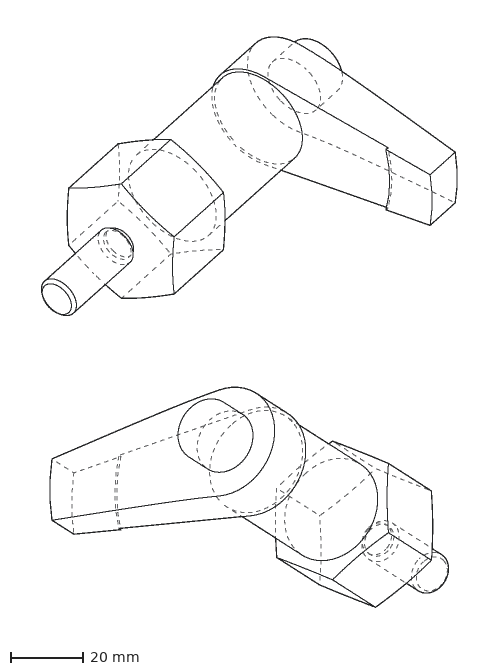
import cadquery as cq
import math

stud_length = 30.0
hex_length = 25.0
sleeve_length = 41.0
lever_depth = 17.0
knob_length = 11.0

stud_diameter = 12.0
neck_diameter = 9.4
neck_length = 1.25
shoulder_angle = math.radians(30.0)
stud_end_chamfer = 1.0

hex_across_flats = 36.0
hex_sides = 6
hex_corner_diameter = hex_across_flats / math.cos(math.pi / hex_sides)
hex_chamfer_angle = math.radians(15.0)

sleeve_diameter = 30.0
knob_diameter = 18.0
knob_fillet = 0.8

hub_diameter = 32.0
tip_radius = 60.0
tip_half_width = 9.2
tip_top_drop = 6.0
foot_inner_radius = 45.5
foot_height = 1.0

hex_start = stud_length
sleeve_start = hex_start + hex_length
lever_start = sleeve_start + sleeve_length
lever_end = lever_start + lever_depth
knob_end = lever_end + knob_length


def disc_along_y(diameter, start, end):
    """Cylinder on the Y axis between two stations."""
    return cq.Workplane("XZ", origin=(0, start, 0)).circle(diameter / 2).extrude(start - end)


def make_stud():
    """Shank with a chamfered end, and a thinner neck where it meets the hexagon body."""
    shank_radius = stud_diameter / 2
    neck_radius = neck_diameter / 2
    neck_start = hex_start - neck_length
    shoulder_length = (shank_radius - neck_radius) * math.tan(shoulder_angle)
    return (
        cq.Workplane("XY")
        .lineTo(shank_radius - stud_end_chamfer, 0)
        .lineTo(shank_radius, stud_end_chamfer)
        .lineTo(shank_radius, neck_start - shoulder_length)
        .lineTo(neck_radius, neck_start)
        .lineTo(neck_radius, hex_start)
        .lineTo(0, hex_start)
        .close()
        .revolve(360, (0, 0, 0), (0, 1, 0))
    )


def make_hex_body():
    """Hexagon with a corner on +Z and its corners turned off at both ends."""
    corner_turn = 180 / hex_sides
    prism = (
        cq.Workplane("XZ", origin=(0, hex_start, 0))
        .polygon(hex_sides, hex_corner_diameter)
        .extrude(-hex_length)
        .rotate((0, 0, 0), (0, 1, 0), corner_turn)
    )
    inner = hex_across_flats / 2
    outer = hex_corner_diameter / 2
    rise = (outer - inner) * math.tan(hex_chamfer_angle)
    turned = (
        cq.Workplane("XY")
        .moveTo(0, hex_start)
        .lineTo(inner, hex_start)
        .lineTo(outer, hex_start + rise)
        .lineTo(outer, sleeve_start - rise)
        .lineTo(inner, sleeve_start)
        .lineTo(0, sleeve_start)
        .close()
        .revolve(360, (0, 0, 0), (0, 1, 0))
    )
    return prism.intersect(turned)


def make_lever():
    """Tapered arm growing out of a round hub, with a shallow foot under its tip."""
    hub_radius = hub_diameter / 2
    tip_corner_x = math.sqrt(tip_radius**2 - tip_half_width**2)
    corner_angle = math.atan2(tip_half_width, tip_corner_x)
    tangent_angle = corner_angle + math.acos(hub_radius / tip_radius)
    tangent_x = hub_radius * math.cos(tangent_angle)
    tangent_z = hub_radius * math.sin(tangent_angle)
    blank = (
        cq.Workplane("XZ", origin=(0, lever_start - foot_height, 0))
        .moveTo(tangent_x, tangent_z)
        .lineTo(tip_corner_x, tip_half_width)
        .threePointArc((tip_radius, 0), (tip_corner_x, -tip_half_width))
        .lineTo(tangent_x, -tangent_z)
        .threePointArc((-hub_radius, 0), (tangent_x, tangent_z))
        .close()
        .extrude(-(lever_depth + foot_height))
    )
    relief = disc_along_y(2 * foot_inner_radius, lever_start - foot_height, lever_start)
    cone_cut = (
        cq.Workplane("XY")
        .moveTo(hub_radius, lever_end)
        .lineTo(tip_radius, lever_end - tip_top_drop)
        .lineTo(tip_radius, lever_end)
        .close()
        .revolve(360, (0, 0, 0), (0, 1, 0))
    )
    return blank.cut(relief).cut(cone_cut)


def make_sleeve():
    return disc_along_y(sleeve_diameter, sleeve_start, lever_start)


def make_knob():
    return disc_along_y(knob_diameter, lever_end, knob_end).faces(">Y").fillet(knob_fillet)


result = (
    make_stud()
    .union(make_hex_body())
    .union(make_sleeve())
    .union(make_lever())
    .union(make_knob())
)